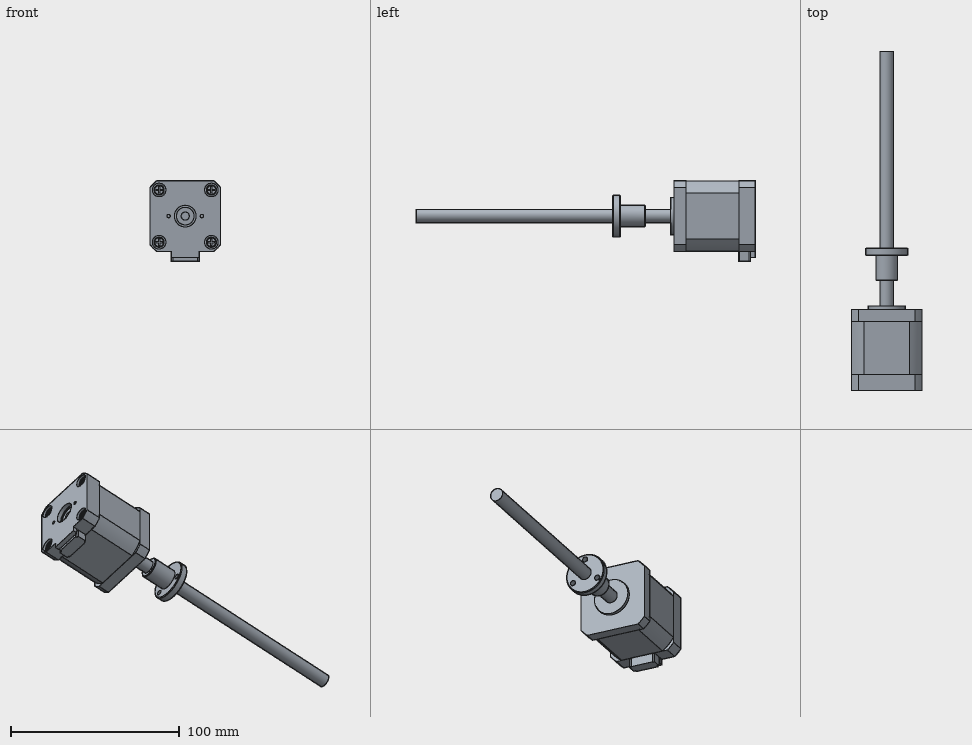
import cadquery as cq


OVERALL_LENGTH = 201.3

MOTOR_WIDTH = 42.0
MOTOR_LENGTH = 48.3
STACK_WIDTH = 41.9
REAR_CAP_LENGTH = 9.7
FRONT_CAP_LENGTH = 7.2
CAP_CORNER_RADIUS = 27.0
STACK_CORNER_RADIUS = 25.0
PILOT_RADIUS = 11.0
PILOT_LENGTH = 2.0

RECESS_RADIUS = 6.5
RECESS_DEPTH = 2.6
RECESS_FLOOR_RADIUS = 5.2
RECESS_FLOOR_DEPTH = 3.0

PIN_HOLE_RADIUS = 1.0
PIN_HOLE_OFFSET = 9.9
PIN_HOLE_DEPTH = 2.0

BOLT_OFFSET = 15.5
COUNTERBORE_RADIUS = 4.0
COUNTERBORE_DEPTH = 1.6
BOLT_HEAD_RADIUS = 3.0
BOLT_HEAD_HEIGHT = 0.8
BOLT_HEAD_CHAMFER = 0.5
CROSS_LENGTH = 3.8
CROSS_WIDTH = 0.8
CROSS_DEPTH = 0.6

CONNECTOR_WIDTH = 16.7
CONNECTOR_REAR = 2.8
CONNECTOR_FRONT = 10.0
CONNECTOR_DROP = 5.8
NOTCH_WIDTH = 1.2
REAR_NOTCH_DEPTH = 1.0
FRONT_NOTCH_DEPTH = 0.6
LIP_DROP = 3.6

SCREW_RADIUS = 4.0
JOURNAL_RADIUS = 2.5

NUT_START = 65.2
NUT_HUB_RADIUS = 6.5
NUT_HUB_LENGTH = 14.9
NUT_FLANGE_RADIUS = 12.5
NUT_FLANGE_LENGTH = 4.6
NUT_CHAMFER = 0.5
NUT_HOLE_COUNT = 3
NUT_HOLE_RADIUS = 1.6
NUT_HOLE_CIRCLE_RADIUS = 9.3

UNDERSIDE = -MOTOR_WIDTH / 2
PILOT_END = MOTOR_LENGTH + PILOT_LENGTH


def rod(radius, start, end, x=0, z=0):
    """Round bar parallel to Y, between two Y positions."""
    return cq.Workplane("XZ", origin=(x, start, z)).circle(radius).extrude(start - end)


def block(width, start, end, bottom, top):
    """Rectangular block centred on X = 0."""
    box = cq.Workplane("XY").box(width, end - start, top - bottom, centered=(True, False, False))
    return box.translate((0, start, bottom))


def rounded_section(width, corner_radius, start, end):
    """Square bar whose corners are trimmed by a cylinder about the motor axis."""
    square = block(width, start, end, -width / 2, width / 2)
    return square.intersect(rod(corner_radius, start, end))


def make_bolt_head(x, z):
    """Chamfered round head with a cross recess, standing on a counterbore floor."""
    floor = COUNTERBORE_DEPTH
    top = floor - BOLT_HEAD_HEIGHT
    head = rod(BOLT_HEAD_RADIUS, top, floor, x, z).faces("<Y").chamfer(BOLT_HEAD_CHAMFER)
    for width, height in ((CROSS_LENGTH, CROSS_WIDTH), (CROSS_WIDTH, CROSS_LENGTH)):
        slot = block(width, top, top + CROSS_DEPTH, -height / 2, height / 2)
        head = head.cut(slot.translate((x, 0, z)))
    return head


def make_motor(screw):
    """End caps, stack, front pilot and connector lip as one solid."""
    stack_start = REAR_CAP_LENGTH
    stack_end = MOTOR_LENGTH - FRONT_CAP_LENGTH
    motor = rounded_section(MOTOR_WIDTH, CAP_CORNER_RADIUS, 0, stack_start)
    motor = motor.union(rounded_section(STACK_WIDTH, STACK_CORNER_RADIUS, stack_start, stack_end))
    motor = motor.union(rounded_section(MOTOR_WIDTH, CAP_CORNER_RADIUS, stack_end, MOTOR_LENGTH))
    motor = motor.union(rod(PILOT_RADIUS, MOTOR_LENGTH, PILOT_END))
    motor = motor.union(block(CONNECTOR_WIDTH, 0, CONNECTOR_REAR, UNDERSIDE - LIP_DROP, UNDERSIDE))

    motor = motor.cut(rod(RECESS_RADIUS, 0, RECESS_DEPTH))
    motor = motor.cut(rod(RECESS_FLOOR_RADIUS, 0, RECESS_FLOOR_DEPTH))

    for x in (-PIN_HOLE_OFFSET, PIN_HOLE_OFFSET):
        motor = motor.cut(rod(PIN_HOLE_RADIUS, 0, PIN_HOLE_DEPTH, x))

    for x in (-BOLT_OFFSET, BOLT_OFFSET):
        for z in (-BOLT_OFFSET, BOLT_OFFSET):
            motor = motor.cut(rod(COUNTERBORE_RADIUS, 0, COUNTERBORE_DEPTH, x, z))
            motor = motor.union(make_bolt_head(x, z))

    return motor.cut(screw)


def make_connector():
    """Plug housing under the rear cap, notched at its four upright corners."""
    bottom = UNDERSIDE - CONNECTOR_DROP
    core_width = CONNECTOR_WIDTH - 2 * NOTCH_WIDTH
    core = block(core_width, CONNECTOR_REAR, CONNECTOR_FRONT, bottom, UNDERSIDE)
    sides_start = CONNECTOR_REAR + REAR_NOTCH_DEPTH
    sides_end = CONNECTOR_FRONT - FRONT_NOTCH_DEPTH
    sides = block(CONNECTOR_WIDTH, sides_start, sides_end, bottom, UNDERSIDE)
    return core.union(sides)


def make_screw():
    """Lead screw whose thinner journal runs back to the floor of the rear recess."""
    journal = rod(JOURNAL_RADIUS, RECESS_FLOOR_DEPTH, PILOT_END)
    return journal.union(rod(SCREW_RADIUS, PILOT_END, OVERALL_LENGTH))


def make_nut():
    """Round hub with a drilled flange, riding on the screw."""
    hub_end = NUT_START + NUT_HUB_LENGTH
    flange_end = hub_end + NUT_FLANGE_LENGTH
    hub = rod(NUT_HUB_RADIUS, NUT_START, hub_end).faces("<Y").chamfer(NUT_CHAMFER)
    flange = rod(NUT_FLANGE_RADIUS, hub_end, flange_end).faces("<Y or >Y").chamfer(NUT_CHAMFER)
    nut = hub.union(flange)
    hole = rod(NUT_HOLE_RADIUS, hub_end, flange_end, z=NUT_HOLE_CIRCLE_RADIUS)
    for index in range(NUT_HOLE_COUNT):
        nut = nut.cut(hole.rotate((0, 0, 0), (0, 1, 0), index * 360 / NUT_HOLE_COUNT))
    return nut.cut(rod(SCREW_RADIUS, NUT_START, flange_end))


screw = make_screw()
connector = make_connector()
motor = make_motor(screw)
nut = make_nut()

result = cq.Compound.makeCompound([motor.val(), connector.val(), screw.val(), nut.val()])